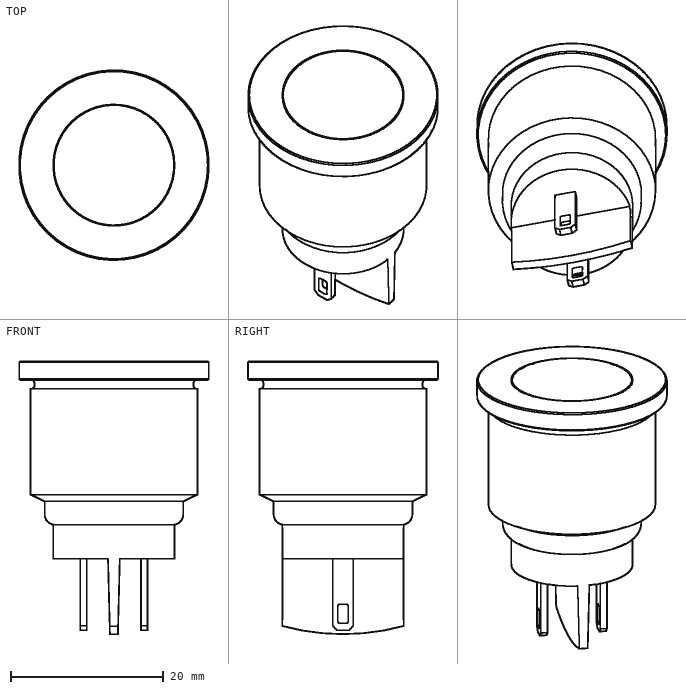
import cadquery as cq

overall_height = 35.95
flange_bottom = 33.42
barrel_top = 32.3
barrel_bottom = 18.35
collar_top = 17.45
collar_bottom = 14.38
base_bottom = 9.92

flange_radius = 25.0 / 2
barrel_radius = 22.0 / 2
neck_radius = 21.0 / 2
collar_radius = 18.3 / 2
base_radius = 16.0 / 2
flange_chamfer = 0.18
neck_fillet = 0.35
collar_fillet = 1.45

button_radius = base_radius
button_gap = 0.1
button_gap_depth = 0.18

plate_top_thickness = 1.58
plate_tip_thickness = 1.08
plate_corner_height = 1.08

terminal_offset = 4.0
terminal_thickness = 0.9
terminal_width = 2.73
terminal_tip = 0.5
terminal_chamfer = 0.6
eyelet_width = 1.35
eyelet_bottom = 1.45
eyelet_top = 3.95
eyelet_fillet = 0.3

embed = 0.72


def make_body():
    profile = (
        cq.Workplane("XZ")
        .moveTo(0, overall_height)
        .lineTo(flange_radius - flange_chamfer, overall_height)
        .lineTo(flange_radius, overall_height - flange_chamfer)
        .lineTo(flange_radius, flange_bottom + flange_chamfer)
        .lineTo(flange_radius - flange_chamfer, flange_bottom)
        .lineTo(neck_radius + neck_fillet, flange_bottom)
        .radiusArc((neck_radius, flange_bottom - neck_fillet), -neck_fillet)
        .lineTo(neck_radius, barrel_top + neck_fillet)
        .radiusArc((neck_radius + neck_fillet, barrel_top), -neck_fillet)
        .lineTo(barrel_radius, barrel_top)
        .lineTo(barrel_radius, barrel_bottom)
        .lineTo(collar_radius, collar_top)
        .lineTo(collar_radius, collar_bottom + collar_fillet)
        .radiusArc((collar_radius - collar_fillet, collar_bottom), collar_fillet)
        .lineTo(0, collar_bottom)
        .close()
    )
    turned = profile.revolve(360, (0, 0, 0), (0, 1, 0))
    base = make_disc(base_radius, base_bottom, collar_bottom)
    return turned.union(base)


def make_disc(radius, bottom, top):
    return cq.Workplane("XY").workplane(offset=bottom).circle(radius).extrude(top - bottom)


def make_button_gap():
    return (
        cq.Workplane("XY")
        .workplane(offset=overall_height - button_gap_depth)
        .circle(button_radius)
        .circle(button_radius - button_gap)
        .extrude(button_gap_depth)
    )


def make_plate():
    section = (
        cq.Workplane("XZ")
        .moveTo(-plate_tip_thickness / 2, 0)
        .lineTo(plate_tip_thickness / 2, 0)
        .lineTo(plate_top_thickness / 2, base_bottom)
        .lineTo(plate_top_thickness / 2, base_bottom + embed)
        .lineTo(-plate_top_thickness / 2, base_bottom + embed)
        .lineTo(-plate_top_thickness / 2, base_bottom)
        .close()
        .extrude(base_radius, both=True)
    )
    outline = (
        cq.Workplane("YZ")
        .moveTo(-base_radius, base_bottom + embed)
        .lineTo(-base_radius, plate_corner_height)
        .threePointArc((0, 0), (base_radius, plate_corner_height))
        .lineTo(base_radius, base_bottom + embed)
        .close()
        .extrude(plate_top_thickness, both=True)
    )
    envelope = make_disc(base_radius, 0, base_bottom + embed)
    return section.intersect(outline).intersect(envelope)


def make_terminal(x):
    length = base_bottom + embed - terminal_tip
    eyelet_height = eyelet_top - eyelet_bottom
    blade = (
        cq.Workplane("XY")
        .box(terminal_thickness, terminal_width, length, centered=(True, True, False))
        .edges("|X and <Z")
        .chamfer(terminal_chamfer)
        .translate((x, 0, terminal_tip))
    )
    eyelet = (
        cq.Workplane("XY")
        .box(terminal_thickness, eyelet_width, eyelet_height, centered=(True, True, False))
        .edges("|X")
        .fillet(eyelet_fillet)
        .translate((x, 0, eyelet_bottom))
    )
    return blade.cut(eyelet)


result = make_body().cut(make_button_gap()).union(make_plate())
for side in (-1, 1):
    result = result.union(make_terminal(side * terminal_offset))